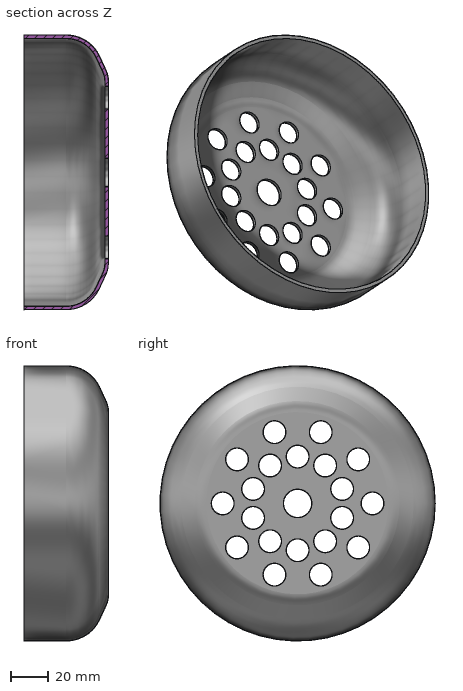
import math

import cadquery as cq

outer_radius = 147 / 2
depth = 45.2
wall = 2.0

side_length = 22.5
shoulder_radius = 19.7
cone_angle = math.radians(65)
end_radius = 14.0

hole_diameter = 12.0
holes_per_ring = 10
inner_ring_radius = 25.0
outer_ring_radius = 40.0
inner_ring_start = 90
outer_ring_start = 0
center_hole_diameter = 15.0


def arc_point(center, radius, angle):
    """Point on an arc, with the angle measured from the radial direction towards +X."""
    center_x, center_r = center
    return (center_x + radius * math.sin(angle), center_r + radius * math.cos(angle))


def dome(offset):
    """Solid of revolution whose side and end lie inside the outer surface by `offset`."""
    shoulder_center = (side_length, outer_radius - shoulder_radius)
    shoulder = shoulder_radius - offset
    end = end_radius - offset

    shoulder_end = arc_point(shoulder_center, shoulder, cone_angle)
    end_center_x = depth - end_radius
    cone_end_x = end_center_x + end * math.sin(cone_angle)
    cone_end_r = shoulder_end[1] - (cone_end_x - shoulder_end[0]) * math.tan(cone_angle)
    end_center = (end_center_x, cone_end_r - end * math.cos(cone_angle))

    profile = (
        cq.Workplane("XY")
        .moveTo(0, 0)
        .lineTo(0, outer_radius - offset)
        .lineTo(side_length, outer_radius - offset)
        .threePointArc(arc_point(shoulder_center, shoulder, cone_angle / 2), shoulder_end)
        .lineTo(cone_end_x, cone_end_r)
        .threePointArc(
            arc_point(end_center, end, (cone_angle + math.pi / 2) / 2),
            arc_point(end_center, end, math.pi / 2),
        )
        .lineTo(depth - offset, 0)
        .close()
    )
    return profile.revolve(360, (0, 0, 0), (1, 0, 0))


def hole_ring(ring_radius, start_angle):
    """Cutters for one ring of holes; the angle is measured from +Y towards +Z."""
    return (
        cq.Workplane("YZ")
        .polarArray(ring_radius, start_angle, 360, holes_per_ring)
        .circle(hole_diameter / 2)
        .extrude(depth)
    )


def center_hole():
    """Cutter for the hole on the axis."""
    return cq.Workplane("YZ").circle(center_hole_diameter / 2).extrude(depth)


result = (
    dome(0)
    .cut(dome(wall))
    .cut(hole_ring(inner_ring_radius, inner_ring_start))
    .cut(hole_ring(outer_ring_radius, outer_ring_start))
    .cut(center_hole())
)